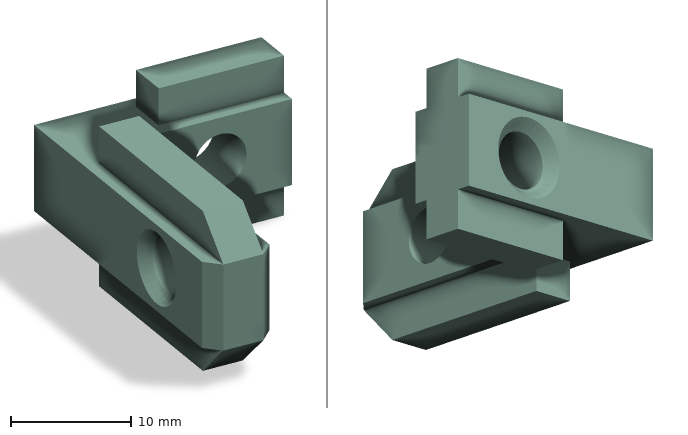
import cadquery as cq
import math

LENGTH = 29.7
DEPTH = 21.0
BODY_HEIGHT = 8.08
SHORT_LEG_THICKNESS = 6.5
LONG_LEG_THICKNESS = 6.45
INNER_FILLET = 1.0

TOTAL_HEIGHT = 15.0
RIB_HEIGHT = (TOTAL_HEIGHT - BODY_HEIGHT) / 2
RIB_WIDTH = 3.83
TIP_CHAMFER = (LONG_LEG_THICKNESS - RIB_WIDTH) / 2
SHORT_RIB_LENGTH = 12.0
LONG_RIB_START = 8.7

HOLE_DIAMETER = 5.0
SHORT_LEG_SINK_DIAMETER = 7.0
LONG_LEG_SINK_DIAMETER = 6.68
SINK_DEPTH = 1.0
BORE_LENGTH = 9.8
SHORT_LEG_HOLE_Y = DEPTH - 6.85
LONG_LEG_HOLE_X = 20.73
LONG_LEG_HOLE_TILT = 4.5


def make_body():
    """L-shaped bar with a rounded inner corner and a chamfered long tip."""
    long_leg = (
        cq.Workplane("XY")
        .box(LENGTH, LONG_LEG_THICKNESS, BODY_HEIGHT, centered=(False, False, True))
        .edges("|Z and >X")
        .chamfer(TIP_CHAMFER)
    )
    short_leg = cq.Workplane("XY").box(
        SHORT_LEG_THICKNESS, DEPTH, BODY_HEIGHT, centered=(False, False, True)
    )
    inner_corner = cq.selectors.NearestToPointSelector(
        (SHORT_LEG_THICKNESS, LONG_LEG_THICKNESS, 0)
    )
    return long_leg.union(short_leg).edges(inner_corner).fillet(INNER_FILLET)


def make_short_ribs():
    """Ribs on the Y leg; one block runs through the body to form both."""
    return (
        cq.Workplane("XY")
        .box(RIB_WIDTH, SHORT_RIB_LENGTH, TOTAL_HEIGHT, centered=(True, False, True))
        .translate((SHORT_LEG_THICKNESS / 2, DEPTH - SHORT_RIB_LENGTH, 0))
    )


def make_long_ribs():
    """Ribs on the X leg, sloping at 45 degrees down to the body at the tip."""
    return (
        cq.Workplane("XY")
        .box(LENGTH - LONG_RIB_START, RIB_WIDTH, TOTAL_HEIGHT, centered=(False, True, True))
        .edges("|Y and >X")
        .chamfer(RIB_HEIGHT)
        .translate((LONG_RIB_START, LONG_LEG_THICKNESS / 2, 0))
    )


def make_screw_hole(position, inward, sink_diameter, tilt=0):
    """Cutter for a bore with a conical mouth; tilt turns only the bore, about Z."""
    mouth = cq.Vector(*position)
    direction = cq.Vector(*inward)
    sink = cq.Solid.makeCone(
        sink_diameter / 2, HOLE_DIAMETER / 2, SINK_DEPTH, mouth, direction
    )
    pivot = mouth + direction * SINK_DEPTH
    angle = math.radians(tilt)
    bore_direction = cq.Vector(
        direction.x * math.cos(angle) - direction.y * math.sin(angle),
        direction.x * math.sin(angle) + direction.y * math.cos(angle),
        0,
    )
    bore = cq.Solid.makeCylinder(
        HOLE_DIAMETER / 2, BORE_LENGTH, pivot - bore_direction * SINK_DEPTH, bore_direction
    )
    return cq.Workplane(obj=sink).union(cq.Workplane(obj=bore))


short_leg_hole = make_screw_hole((0, SHORT_LEG_HOLE_Y, 0), (1, 0, 0), SHORT_LEG_SINK_DIAMETER)
long_leg_hole = make_screw_hole(
    (LONG_LEG_HOLE_X, 0, 0), (0, 1, 0), LONG_LEG_SINK_DIAMETER, LONG_LEG_HOLE_TILT
)

result = (
    make_body()
    .union(make_short_ribs())
    .union(make_long_ribs())
    .cut(short_leg_hole)
    .cut(long_leg_hole)
)